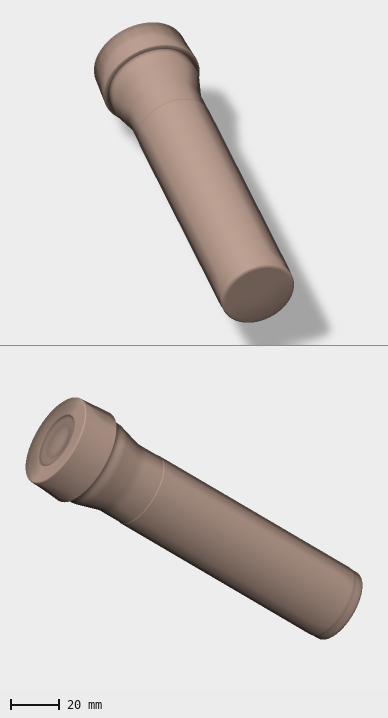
import cadquery as cq
import math

total_length = 150.0
barrel_start = 44.3

bell_front_radius = 20.0
bell_back_radius = 41.9 / 2
bell_end = 15.9
bell_front_round = 0.6
bell_back_round = 0.8

collar_radius = 37.7 / 2
neck_radius = 31.5 / 2
shoulder_angle = math.radians(15)
shoulder_start = 21.3
collar_blend_length = 0.9
neck_blend_length = 1.7

dish_radius = 18.2
bevel_radius = 12.9
step_radius = 12.0
seat_radius = 11.5
well_radius = 10.2
dish_angle = math.radians(3)
well_angle = math.radians(9)
step_height = 0.6
floor_edge_radius = 7.13
floor_blend_length = 0.38

barrel_radius = 32.0 / 2
barrel_chamfer_length = 0.5
tail_radius = neck_radius
tail_taper_start = 144.6
tail_start = 146.0
tail_round = 1.4


def revolve_about_x(profile):
    """Turn a closed half profile, drawn as (x, radius), about the X axis."""
    return profile.close().revolve(360, (0, 0, 0), (1, 0, 0))


def make_head():
    """Flared bell, collar, blended shoulder and neck, with the front recess."""
    shoulder_length = (collar_radius - neck_radius) / math.tan(shoulder_angle)
    shoulder_end = shoulder_start + shoulder_length
    run = math.cos(shoulder_angle)
    drop = math.sin(shoulder_angle)
    slope_start = (
        shoulder_start + collar_blend_length * run,
        collar_radius - collar_blend_length * drop,
    )
    slope_end = (
        shoulder_end - neck_blend_length * run,
        neck_radius + neck_blend_length * drop,
    )
    bevel_depth = (dish_radius - bevel_radius) * math.tan(dish_angle)
    step_depth = bevel_depth + (bevel_radius - step_radius) * math.tan(well_angle)
    seat_depth = step_depth + step_height
    well_depth = seat_depth + (seat_radius - well_radius) * math.tan(dish_angle)
    floor_depth = well_depth + (well_radius - floor_edge_radius) * math.tan(well_angle)
    wall_start = (
        floor_depth - floor_blend_length * math.sin(well_angle),
        floor_edge_radius + floor_blend_length * math.cos(well_angle),
    )
    profile = (
        cq.Workplane("XY")
        .moveTo(floor_depth, 0)
        .lineTo(floor_depth, floor_edge_radius - floor_blend_length)
        .tangentArcPoint(wall_start, relative=False)
        .lineTo(well_depth, well_radius)
        .lineTo(seat_depth, seat_radius)
        .lineTo(step_depth, step_radius)
        .lineTo(bevel_depth, bevel_radius)
        .lineTo(0, dish_radius)
        .lineTo(0, bell_front_radius - bell_front_round)
        .tangentArcPoint((bell_front_round, bell_front_radius), relative=False)
        .lineTo(bell_end - bell_back_round, bell_back_radius)
        .tangentArcPoint((bell_end, bell_back_radius - bell_back_round), relative=False)
        .lineTo(bell_end, collar_radius)
        .lineTo(shoulder_start - collar_blend_length, collar_radius)
        .tangentArcPoint(slope_start, relative=False)
        .lineTo(*slope_end)
        .tangentArcPoint((shoulder_end + neck_blend_length, neck_radius), relative=False)
        .lineTo(barrel_start, neck_radius)
        .lineTo(barrel_start, 0)
    )
    return revolve_about_x(profile)


def make_barrel():
    """Cylindrical handle butting against the neck, with a reduced, rounded tail."""
    profile = (
        cq.Workplane("XY")
        .moveTo(barrel_start, 0)
        .lineTo(barrel_start, neck_radius)
        .lineTo(barrel_start + barrel_chamfer_length, barrel_radius)
        .lineTo(tail_taper_start, barrel_radius)
        .lineTo(tail_start, tail_radius)
        .lineTo(total_length - tail_round, tail_radius)
        .tangentArcPoint((total_length, tail_radius - tail_round), relative=False)
        .lineTo(total_length, 0)
    )
    return revolve_about_x(profile)


head = make_head()
barrel = make_barrel()
result = cq.Compound.makeCompound([head.val(), barrel.val()])